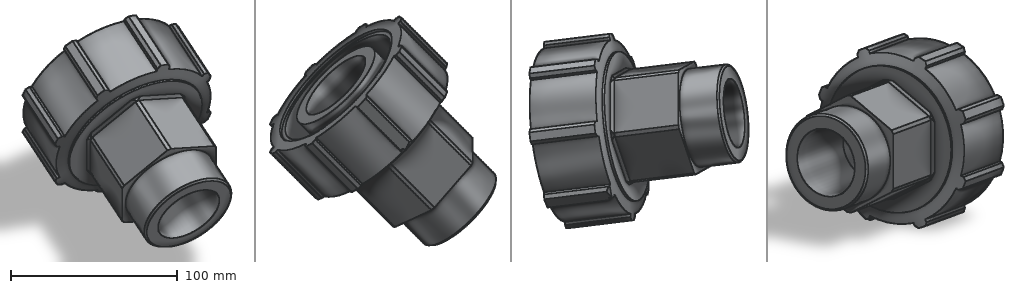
import cadquery as cq
import math

overall_length = 112.0
recess_depth = 1.7
cavity_depth = 26.0
bore_taper_start_x = 60.0
nut_edge_x = 41.0
nut_shoulder_x = 43.4
collar_end_x = 44.8
flare_end_x = 46.9
hex_end_x = 87.25
tail_chamfer = 1.2

nut_diameter = 105.4
collar_diameter = 90.4
recess_diameter = 90.4
cavity_diameter = 84.75
sleeve_diameter = 63.0
bore_front_diameter = 47.69
bore_rear_diameter = 41.73
flare_diameter = 73.6
tail_diameter = 59.61

rib_count = 8
rib_half_width = 4.6
rib_root_overlap = 2.0
rib_crest_half_width = 2.69
rib_shoulder_radius = 54.3
rib_crest_radius = 56.42
marker_rib_index = 5
square_corner_end_x = 39.2

hex_flat_width = 64.0
hex_corner_width = 72.4
flare_flat_width = 66.7


def cylinder(diameter, start_x, end_x):
    """Cylinder on the X axis between two stations."""
    return cq.Workplane("YZ", origin=(start_x, 0, 0)).circle(diameter / 2).extrude(end_x - start_x)


def cone(start_diameter, end_diameter, start_x, end_x):
    """Truncated cone on the X axis between two stations."""
    outline = [(start_x, 0), (start_x, start_diameter / 2), (end_x, end_diameter / 2), (end_x, 0)]
    return cq.Workplane("XY").polyline(outline).close().revolve(360, (0, 0, 0), (1, 0, 0))


def hexagon(workplane, flat_width, flat_angle):
    """Hexagon outline with one flat facing the given angle from +Y."""
    corner_diameter = flat_width / math.cos(math.pi / 6)
    return workplane.transformed(rotate=(0, 0, flat_angle + 30)).polygon(6, corner_diameter)


def rib():
    """One grip rib with bevelled corners, its crest pointing along +Y."""
    root_radius = nut_diameter / 2 - rib_root_overlap
    outline = [
        (root_radius, -rib_half_width),
        (rib_shoulder_radius, -rib_half_width),
        (rib_crest_radius, -rib_crest_half_width),
        (rib_crest_radius, rib_crest_half_width),
        (rib_shoulder_radius, rib_half_width),
        (root_radius, rib_half_width),
    ]
    return cq.Workplane("YZ").polyline(outline).close().extrude(nut_shoulder_x)


def square_corner():
    """Prism that squares off one corner of an unrotated rib, short of its rear end."""
    outline = [
        (rib_shoulder_radius, rib_half_width),
        (rib_crest_radius, rib_half_width),
        (rib_crest_radius, rib_crest_half_width),
    ]
    return cq.Workplane("YZ").polyline(outline).close().extrude(square_corner_end_x)


def end_slant():
    """Block above the oblique plane that slants the rear end of an unrotated marker rib."""
    slant_start = cq.Vector(square_corner_end_x, rib_crest_radius, -rib_crest_half_width)
    shoulder_end = cq.Vector(nut_edge_x, rib_shoulder_radius, -rib_half_width)
    crest_end = cq.Vector(nut_edge_x, rib_crest_radius, rib_crest_half_width)
    normal = (crest_end - slant_start).cross(shoulder_end - slant_start)
    if normal.y < 0:
        normal = normal * -1
    block_size = 4 * rib_half_width
    slant_plane = cq.Plane(origin=slant_start, normal=normal)
    return cq.Workplane(slant_plane).rect(block_size, block_size).extrude(block_size)


def marker_rib():
    """Rib with one squared corner and a slanted rear end, not yet rotated into place."""
    return rib().cut(end_slant()).union(square_corner())


def make_nut():
    """Ribbed, hollow nut with a conical rear shoulder and a collar."""
    nut = cylinder(nut_diameter, 0, nut_shoulder_x)
    rib_pitch = 360 / rib_count
    for index in range(rib_count):
        shape = marker_rib() if index == marker_rib_index else rib()
        angle = (index + 0.5) * rib_pitch
        nut = nut.union(shape.rotate((0, 0, 0), (1, 0, 0), angle))
    outer_diameter = 2 * math.hypot(rib_crest_radius, rib_half_width)
    front_limit = cylinder(outer_diameter, 0, nut_edge_x)
    rear_limit = cone(outer_diameter, collar_diameter, nut_edge_x, nut_shoulder_x)
    nut = nut.intersect(front_limit.union(rear_limit))
    nut = nut.cut(cylinder(recess_diameter, 0, recess_depth))
    nut = nut.cut(cylinder(cavity_diameter, 0, cavity_depth))
    return nut.union(cylinder(collar_diameter, nut_shoulder_x, collar_end_x))


def make_hex_body():
    """Hexagon with trimmed corners, flared out at the collar to a round limit."""
    length = hex_end_x - collar_end_x
    base = cq.Workplane("YZ", origin=(collar_end_x, 0, 0))
    body = hexagon(base, hex_flat_width, flat_angle=0).extrude(length)
    corner_trim = hexagon(base, hex_corner_width, flat_angle=30).extrude(length)
    body = body.intersect(corner_trim)

    flare_length = flare_end_x - collar_end_x
    flare_rise = (flare_flat_width - hex_flat_width) / 2
    taper = math.degrees(math.atan(flare_rise / flare_length))
    flare = hexagon(base, flare_flat_width, flat_angle=0).extrude(flare_length, taper=taper)
    flare = flare.intersect(cylinder(flare_diameter, collar_end_x, flare_end_x))
    return body.union(flare)


def make_tail():
    """Round spigot with a chamfered end."""
    return cylinder(tail_diameter, hex_end_x, overall_length).faces(">X").chamfer(tail_chamfer)


def make_bore():
    """Through bore that narrows over a 45 degree step."""
    bore_taper_length = (bore_front_diameter - bore_rear_diameter) / 2
    bore_taper_end_x = bore_taper_start_x + bore_taper_length
    front = cylinder(bore_front_diameter, 0, bore_taper_start_x)
    taper = cone(bore_front_diameter, bore_rear_diameter, bore_taper_start_x, bore_taper_end_x)
    rear = cylinder(bore_rear_diameter, bore_taper_end_x, overall_length)
    return front.union(taper).union(rear)


sleeve = cylinder(sleeve_diameter, 0, collar_end_x)
result = make_nut().union(sleeve).union(make_hex_body()).union(make_tail()).cut(make_bore())